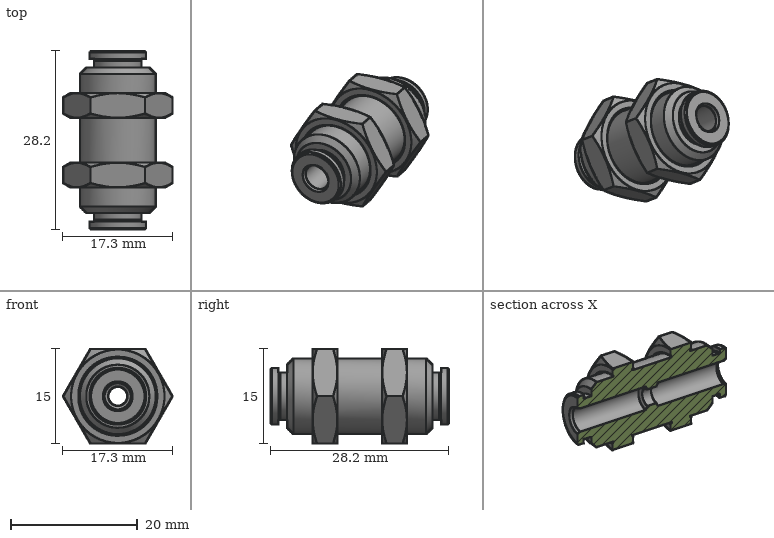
import cadquery as cq
import math

half_length = 14.1

body_radius = 6.0
body_half_length = 11.5
body_chamfer = 1.02

sleeve_radius = 3.78
sleeve_chamfer = 0.15
sleeve_half_length = 12.7

flange_radius = 4.49
flange_thickness = 1.25
flange_chamfer = 0.25
flange_inner_y = half_length - flange_thickness

socket_radius = 2.1
mouth_chamfer = 0.25
mouth_chamfer_depth = 0.5
passage_radius = 1.5
passage_half_length = 0.85
taper_angle = 30.0
taper_length = (socket_radius - passage_radius) * math.tan(math.radians(taper_angle))
taper_half_length = passage_half_length + taper_length

nut_across_flats = 15.0
nut_thickness = 4.0
nut_inner_y = 3.5
nut_face_radius = 7.4
nut_countersink_radius = 6.25
nut_chamfer_angle = 30.0


def revolve_profile(points):
    """Revolve a closed (radius, y) profile about the Y axis."""
    return cq.Workplane("XY").polyline(points).close().revolve(360, (0, 0), (0, 1))


def make_core():
    """Body with a sleeve and release button at each end, bored through."""
    upper_profile = [
        (body_radius, body_half_length - body_chamfer),
        (body_radius - body_chamfer, body_half_length),
        (sleeve_radius, body_half_length),
        (sleeve_radius, sleeve_half_length - sleeve_chamfer),
        (sleeve_radius - sleeve_chamfer, sleeve_half_length),
        (sleeve_radius, flange_inner_y),
        (flange_radius, flange_inner_y),
        (flange_radius, half_length - flange_chamfer),
        (flange_radius - flange_chamfer, half_length),
        (socket_radius + mouth_chamfer, half_length),
        (socket_radius, half_length - mouth_chamfer_depth),
        (socket_radius, taper_half_length),
        (passage_radius, passage_half_length),
    ]
    lower_profile = [(radius, -y) for radius, y in reversed(upper_profile)]
    return revolve_profile(upper_profile + lower_profile)


def make_nut():
    """Lock nut on the +Y side, with chamfered corners and countersunk faces."""
    corner_radius = nut_across_flats / 2 / math.cos(math.pi / 6)
    corner_drop = (corner_radius - nut_face_radius) * math.tan(math.radians(nut_chamfer_angle))
    countersink_depth = nut_countersink_radius - body_radius
    nut_outer_y = nut_inner_y + nut_thickness
    hexagon = (
        cq.Workplane("XZ", origin=(0, nut_outer_y, 0))
        .polygon(6, 2 * corner_radius)
        .extrude(nut_thickness)
    )
    turned_blank = revolve_profile([
        (nut_countersink_radius, nut_inner_y),
        (nut_face_radius, nut_inner_y),
        (corner_radius, nut_inner_y + corner_drop),
        (corner_radius, nut_outer_y - corner_drop),
        (nut_face_radius, nut_outer_y),
        (nut_countersink_radius, nut_outer_y),
        (body_radius, nut_outer_y - countersink_depth),
        (body_radius, nut_inner_y + countersink_depth),
    ])
    return hexagon.intersect(turned_blank)


nut = make_nut()
result = make_core().union(nut).union(nut.mirror("XZ"))